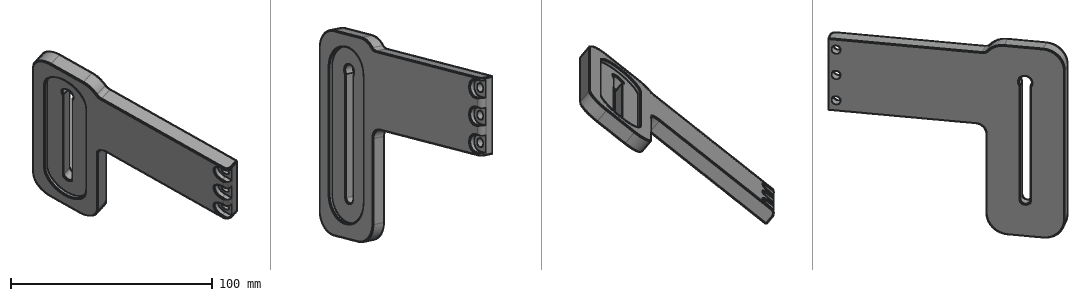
import cadquery as cq
import math

length = 120.0
thickness = 8.0
height = 105.0
edge_chamfer = 0.5

bar_width = 40.0
bar_corner_radius = 11.0
arm_width = 40.0
arm_drop = 5.0
arm_top = height - arm_drop
arm_bottom = arm_top - arm_width
arm_inner_radius = 5.0
arm_tip_radius = 3.0

shoulder_start = 30.8
shoulder_radius = 11.0
shoulder_blend_radius = 3.7

slot_center_x = 20.0
slot_bottom_z = 20.5
slot_top_z = 85.5
pocket_radius = 12.5
pocket_depth = 2.0
slot_radius = 2.5
keyhole_diameter = 6.5

hole_diameter = 4.5
hole_pitch = 14.0
hole_tip_distance = 4.1
recess_radius = 4.5
recess_depth = 3.0


def circle_point(center, radius, angle):
    """Point on a circle at an angle in degrees."""
    a = math.radians(angle)
    return (center[0] + radius * math.cos(a), center[1] + radius * math.sin(a))


def front_plane(depth=0.0):
    """XZ sketch plane at a depth behind the front face; negative extrusions go back along +Y."""
    return cq.Workplane(cq.Plane(origin=(0, depth, 0), xDir=(1, 0, 0), normal=(0, -1, 0)))


def plate():
    """L-shaped body with its tip rounded and its outer edges chamfered."""
    centers_rise = shoulder_radius + shoulder_blend_radius
    turn = math.degrees(math.acos(1 - arm_drop / centers_rise))
    crest = (shoulder_start, height - shoulder_radius)
    joint = circle_point(crest, shoulder_radius, 90 - turn)
    blend_x = shoulder_start + centers_rise * math.sin(math.radians(turn))
    blend = (blend_x, arm_top + shoulder_blend_radius)

    r = bar_corner_radius
    inner = arm_inner_radius
    outline = (
        front_plane()
        .moveTo(r, 0)
        .lineTo(bar_width - r, 0)
        .threePointArc(circle_point((bar_width - r, r), r, -45), (bar_width, r))
        .lineTo(bar_width, arm_bottom - inner)
        .threePointArc(
            circle_point((bar_width + inner, arm_bottom - inner), inner, 135),
            (bar_width + inner, arm_bottom),
        )
        .lineTo(length, arm_bottom)
        .lineTo(length, arm_top)
        .lineTo(blend_x, arm_top)
        .threePointArc(circle_point(blend, shoulder_blend_radius, 270 - turn / 2), joint)
        .threePointArc(circle_point(crest, shoulder_radius, 90 - turn / 2), (shoulder_start, height))
        .lineTo(r, height)
        .threePointArc(circle_point((r, height - r), r, 135), (0, height - r))
        .lineTo(0, r)
        .threePointArc(circle_point((r, r), r, 225), (r, 0))
        .close()
    )
    body = outline.extrude(-thickness)
    body = body.faces(">X").edges("<Y").fillet(arm_tip_radius)
    body = body.faces(">Y").edges().chamfer(edge_chamfer)
    return body.faces("<Y").edges("not >X").chamfer(edge_chamfer)


def upright_slot(radius, depth):
    """Round-ended outline along the bar, on a plane at a depth."""
    span = slot_top_z - slot_bottom_z
    middle_z = (slot_top_z + slot_bottom_z) / 2
    return front_plane(depth).center(slot_center_x, middle_z).slot2D(span + 2 * radius, 2 * radius, 90)


def keyhole_circle(radius, depth):
    """Round outline at the upper end of the slot."""
    return front_plane(depth).center(slot_center_x, slot_top_z).circle(radius)


def tip_recess(center_z):
    """Give the outline function of a recess that runs out past the arm tip."""

    def outline(radius, depth):
        run_out = 2 * hole_tip_distance
        return (
            front_plane(depth)
            .center(length - hole_tip_distance, center_z)
            .moveTo(run_out, radius)
            .lineTo(0, radius)
            .threePointArc((-radius, 0), (0, -radius))
            .lineTo(run_out, -radius)
            .close()
        )

    return outline


def chamfered_cutter(outline, radius, top, bottom):
    """Cutter from depth top to depth bottom with a 45 degree chamfer at its mouth."""
    walls = outline(radius, top).extrude(top - bottom)
    mouth = outline(radius + edge_chamfer, top).extrude(-edge_chamfer, taper=45)
    return walls.union(mouth)


def through_cutter(outline, radius, top):
    """Cutter from depth top out through the back face, chamfered at both mouths."""
    back_mouth = outline(radius + edge_chamfer, thickness).extrude(edge_chamfer, taper=45)
    return chamfered_cutter(outline, radius, top, thickness).union(back_mouth)


def pocket_and_keyhole():
    """Cutter for the shallow pocket and the keyhole slot in its floor."""
    pocket = chamfered_cutter(upright_slot, pocket_radius, 0, pocket_depth)
    slot = through_cutter(upright_slot, slot_radius, pocket_depth)
    keyhole = through_cutter(keyhole_circle, keyhole_diameter / 2, pocket_depth)
    return pocket.union(slot).union(keyhole)


def tip_hole(center_z):
    """Cutter for one screw hole and its open recess."""
    recess = chamfered_cutter(tip_recess(center_z), recess_radius, 0, recess_depth)
    hole = (
        front_plane()
        .center(length - hole_tip_distance, center_z)
        .circle(hole_diameter / 2)
        .extrude(-thickness)
    )
    return recess.union(hole)


result = plate().cut(pocket_and_keyhole())

arm_middle = (arm_top + arm_bottom) / 2
for row in (-1, 0, 1):
    result = result.cut(tip_hole(arm_middle + row * hole_pitch))